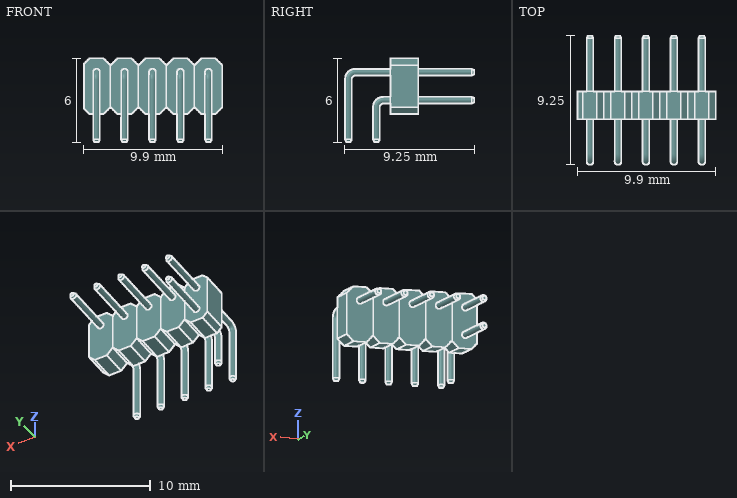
import cadquery as cq
import math


PITCH = 2.0
SEGMENT_COUNT = 5
HOUSING_DEPTH = PITCH
HOUSING_HEIGHT = 2 * PITCH
HALF_WIDTH = PITCH / 2
END_HALF_WIDTH = 0.9
FLAT_HALF_WIDTH = PITCH / 4

PIN_RADIUS = 0.25
BEND_RADIUS = 2 * PIN_RADIUS
TIP_LENGTH = 0.2
TIP_RADIUS = 0.15
TAIL_LENGTH = 2 * PITCH
LEG_DROP = PITCH
LOWER_ROW_Z = HOUSING_HEIGHT / 2 - PITCH / 2
UPPER_ROW_Z = LOWER_ROW_Z + PITCH
LOWER_LEG_REACH = PITCH / 2
UPPER_LEG_REACH = LOWER_LEG_REACH + PITCH


def segment_block(left_half_width):
    """Octagonal block around a pin axis at X = 0, with 45-degree corner chamfers."""
    left_chamfer = left_half_width - FLAT_HALF_WIDTH
    right_chamfer = HALF_WIDTH - FLAT_HALF_WIDTH
    outline = [
        (-FLAT_HALF_WIDTH, 0),
        (FLAT_HALF_WIDTH, 0),
        (HALF_WIDTH, right_chamfer),
        (HALF_WIDTH, HOUSING_HEIGHT - right_chamfer),
        (FLAT_HALF_WIDTH, HOUSING_HEIGHT),
        (-FLAT_HALF_WIDTH, HOUSING_HEIGHT),
        (-left_half_width, HOUSING_HEIGHT - left_chamfer),
        (-left_half_width, left_chamfer),
    ]
    return cq.Workplane("XZ").polyline(outline).close().extrude(-HOUSING_DEPTH)


def pin_tip(base, direction):
    """Tapered pin end, starting at its base and narrowing along the direction."""
    return cq.Workplane(cq.Solid.makeCone(PIN_RADIUS, TIP_RADIUS, TIP_LENGTH, base, direction))


def bent_pin(row_z, leg_reach):
    """Round pin running along Y through the housing, then bent down into a leg."""
    tail_y = HOUSING_DEPTH + TAIL_LENGTH - TIP_LENGTH
    leg_y = -leg_reach
    leg_end_z = TIP_LENGTH - LEG_DROP
    bend_center_y = leg_y + BEND_RADIUS
    bend_center_z = row_z - BEND_RADIUS
    bend_offset = BEND_RADIUS * math.sqrt(0.5)
    bend_middle = (bend_center_y - bend_offset, bend_center_z + bend_offset)

    axis = (
        cq.Workplane("YZ")
        .moveTo(tail_y, row_z)
        .lineTo(bend_center_y, row_z)
        .threePointArc(bend_middle, (leg_y, bend_center_z))
        .lineTo(leg_y, leg_end_z)
    )
    shaft = cq.Workplane("XZ", origin=(0, tail_y, row_z)).circle(PIN_RADIUS).sweep(axis)
    tail_tip = pin_tip(cq.Vector(0, tail_y, row_z), cq.Vector(0, 1, 0))
    leg_tip = pin_tip(cq.Vector(0, leg_y, leg_end_z), cq.Vector(0, 0, -1))
    return shaft.union(tail_tip).union(leg_tip)


def single_pin_segment():
    """Full-width segment with a pin in the upper row only."""
    return segment_block(HALF_WIDTH).union(bent_pin(UPPER_ROW_Z, UPPER_LEG_REACH))


def double_pin_segment():
    """First segment: shortened outer side and a pin in each row."""
    upper_pin = bent_pin(UPPER_ROW_Z, UPPER_LEG_REACH)
    lower_pin = bent_pin(LOWER_ROW_Z, LOWER_LEG_REACH)
    return segment_block(END_HALF_WIDTH).union(upper_pin).union(lower_pin)


end_segment = double_pin_segment()
single_segments = [
    single_pin_segment().translate((index * PITCH, 0, 0))
    for index in range(1, SEGMENT_COUNT)
]

result = cq.Compound.makeCompound(
    [end_segment.solids().val(), *[segment.solids().val() for segment in single_segments]]
)